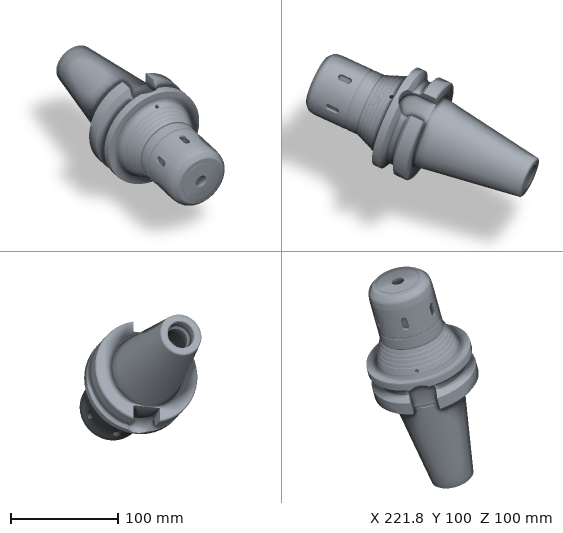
import cadquery as cq
import math

total_length = 221.8

taper_slope = 7 / 48
taper_length = 101.5
taper_large_radius = 34.8
taper_small_radius = taper_large_radius - taper_length * taper_slope
nose_chamfer = 0.9
neck_start = 102.0
neck_radius = 69.0 / 2
neck_fillet = 1.0

flange_radius = 100.0 / 2
flange_start = 104.2
flange_end = 139.7
flange_chamfer = 1.0
rim_bevel_length = 1.3
rim_bevel_height = 0.2
face_recess_radius = 37.3
face_recess_depth = 0.5
v_groove_radius = 42.4
v_floor_start = 121.8
v_floor_end = 127.8
v_flank_angle = math.radians(30)
v_flank_run = (flange_radius - v_groove_radius) * math.tan(v_flank_angle)

cone_fillet_length = 2.7
cone_fillet_rise = 1.3
cone_fillet_radius = 3.3
cone_start_radius = 40.8
cone_end = 164.4
cone_end_radius = 31.0
ring_groove_count = 4
ring_groove_first = 148.0
ring_groove_pitch = 4.0
ring_groove_width = 1.8
ring_groove_depth = 0.33
ring_groove_wall = 0.5

nut_radius = 61.0 / 2
relief_radius = 60.0 / 2
cone_relief_width = 0.9
relief_bevel = nut_radius - relief_radius
nut_relief_start = 176.0
nut_relief_end = 178.0
nut_crown_start = 209.2
nut_crown_end = 215.4
nut_crown_end_radius = 29.7
nut_shoulder_end = 217.8
nut_shoulder_end_radius = 28.5
nut_bevel_end = 219.8
nut_bevel_end_radius = 26.5
nut_face = 221.4
nut_face_radius = 49.0 / 2
collet_face_radius = 19.5

slot_count = 6
slot_start = 186.0
slot_end = 200.0
slot_width = 6.2
slot_depth = 3.8

keyway_width = 26.0
keyway_end = 135.7
keyway_floor = 35.0

cross_hole_diameter = 4.0
cross_hole_x = 144.6

pilot_radius = 25.5 / 2
pilot_depth = 12.5
pilot_chamfer = 0.9
thread_radius = 24.0 / 2
thread_core_radius = 21.0 / 2
thread_lead = 1.0
thread_core_depth = 44.4
passage_radius = 12.0 / 2
drill_tip_half_angle = math.radians(59)


def revolve_about_axis(profile):
    return profile.close().revolve(360, (0, 0, 0), (1, 0, 0))


def cone_radius(x):
    """Radius of the conical body at a place along the axis."""
    slope = (cone_end_radius - cone_start_radius) / (cone_end - flange_end)
    return cone_start_radius + slope * (x - flange_end)


def make_body():
    fillet_end = flange_end + cone_fillet_length
    neck_face = flange_start + face_recess_depth
    profile = (
        cq.Workplane("XY")
        .moveTo(0, 0)
        .lineTo(0, taper_small_radius - nose_chamfer)
        .lineTo(nose_chamfer, taper_small_radius + nose_chamfer * taper_slope)
        .lineTo(taper_length, taper_large_radius)
        .lineTo(neck_start, neck_radius)
        .lineTo(neck_face - neck_fillet, neck_radius)
        .radiusArc((neck_face, neck_radius + neck_fillet), -neck_fillet)
        .lineTo(neck_face, face_recess_radius)
        .lineTo(flange_start, face_recess_radius)
        .lineTo(flange_start, flange_radius - flange_chamfer)
        .lineTo(flange_start + flange_chamfer, flange_radius)
        .lineTo(v_floor_start - v_flank_run, flange_radius)
        .lineTo(v_floor_start, v_groove_radius)
        .lineTo(v_floor_end, v_groove_radius)
        .lineTo(v_floor_end + v_flank_run, flange_radius)
        .lineTo(flange_end - rim_bevel_length, flange_radius)
        .lineTo(flange_end, flange_radius - rim_bevel_height)
        .lineTo(flange_end, cone_radius(flange_end) + cone_fillet_rise)
        .radiusArc((fillet_end, cone_radius(fillet_end)), -cone_fillet_radius)
        .lineTo(cone_end, cone_end_radius)
        .lineTo(cone_end, relief_radius)
        .lineTo(cone_end + cone_relief_width, relief_radius)
        .lineTo(cone_end + cone_relief_width + relief_bevel, nut_radius)
        .lineTo(nut_relief_start, nut_radius)
        .lineTo(nut_relief_start, relief_radius)
        .lineTo(nut_relief_end, relief_radius)
        .lineTo(nut_relief_end + relief_bevel, nut_radius)
        .lineTo(nut_crown_start, nut_radius)
        .tangentArcPoint((nut_crown_end, nut_crown_end_radius), relative=False)
        .tangentArcPoint((nut_shoulder_end, nut_shoulder_end_radius), relative=False)
        .lineTo(nut_bevel_end, nut_bevel_end_radius)
        .lineTo(nut_face, nut_face_radius)
        .lineTo(nut_face, collet_face_radius)
        .lineTo(total_length, collet_face_radius)
        .lineTo(total_length, 0)
    )
    return revolve_about_axis(profile)


def make_ring_groove(start):
    floor_start = start + ring_groove_wall
    end = start + ring_groove_width
    profile = (
        cq.Workplane("XY")
        .moveTo(start, cone_radius(start))
        .lineTo(floor_start, cone_radius(floor_start) - ring_groove_depth)
        .lineTo(end, cone_radius(end) - ring_groove_depth)
        .lineTo(end, flange_radius)
        .lineTo(start, flange_radius)
    )
    return revolve_about_axis(profile)


def make_bore():
    thread_end = pilot_depth + thread_lead
    tip_length = (thread_core_radius - passage_radius) / math.tan(drill_tip_half_angle)
    profile = (
        cq.Workplane("XY")
        .moveTo(0, 0)
        .lineTo(0, pilot_radius + pilot_chamfer)
        .lineTo(pilot_chamfer, pilot_radius)
        .lineTo(pilot_depth, pilot_radius)
        .lineTo(pilot_depth, thread_radius)
        .lineTo(thread_end, thread_core_radius)
        .lineTo(thread_core_depth, thread_core_radius)
        .lineTo(thread_core_depth + tip_length, passage_radius)
        .lineTo(total_length, passage_radius)
        .lineTo(total_length, 0)
    )
    return revolve_about_axis(profile)


def make_keyway():
    """Round-ended keyway on the +Z side, open towards the taper."""
    end_centre = keyway_end - keyway_width / 2
    base = cq.Workplane("XY").workplane(offset=keyway_floor)
    straight = (
        base.center((taper_length + end_centre) / 2, 0)
        .rect(end_centre - taper_length, keyway_width)
        .extrude(flange_radius)
    )
    rounded = base.center(end_centre, 0).circle(keyway_width / 2).extrude(flange_radius)
    return straight.union(rounded)


def make_spanner_slot():
    return (
        cq.Workplane("XY")
        .workplane(offset=nut_radius - slot_depth)
        .center((slot_start + slot_end) / 2, 0)
        .slot2D(slot_end - slot_start, slot_width)
        .extrude(2 * slot_depth)
    )


def turned_about_axis(shape, angle):
    return shape.rotate((0, 0, 0), (1, 0, 0), angle)


result = make_body().cut(make_bore())

for index in range(ring_groove_count):
    result = result.cut(make_ring_groove(ring_groove_first + index * ring_groove_pitch))

for angle in (0, 180):
    result = result.cut(turned_about_axis(make_keyway(), angle))

for index in range(slot_count):
    result = result.cut(turned_about_axis(make_spanner_slot(), index * 360 / slot_count))

cross_hole = (
    cq.Workplane("XY")
    .center(cross_hole_x, 0)
    .circle(cross_hole_diameter / 2)
    .extrude(flange_radius, both=True)
)
result = result.cut(cross_hole)